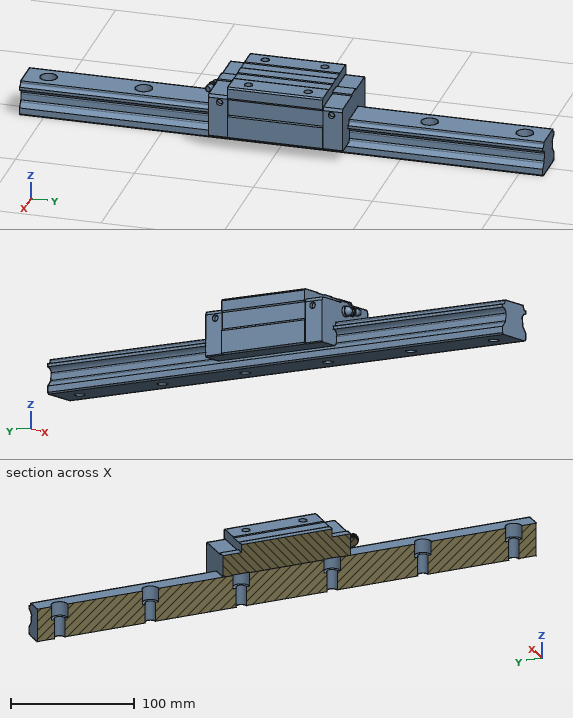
import cadquery as cq
import math


RAIL_LENGTH = 440.0
RAIL_HALF_WIDTH = 17.0
RAIL_HEIGHT = 29.0
RAIL_BASE_CHAMFER = 1.5
RAIL_BASE_HEIGHT = 6.5
RAIL_CROWN_HALF_WIDTH = 13.0
RAIL_CROWN_WALL = 1.5
RAIL_LIP_LOW = 22.5
RAIL_LIP_HIGH = 25.0
UPPER_GROOVE_START = 13.5
UPPER_GROOVE_RADIUS = 3.0
LOWER_GROOVE_RADIUS = 5.5
WAIST_BEVEL_WIDTH = 1.0
WAIST_BEVEL_HEIGHT = 1.5
GROOVE_FOOT = (12.0, 18.5)
WAIST_TOP_HALF_WIDTH = 12.5
WAIST_BOTTOM_HALF_WIDTH = 12.8
WAIST_BOTTOM = 12.0

RAIL_HOLE_COUNT = 6
RAIL_HOLE_PITCH = 80.0
RAIL_HOLE_DIAMETER = 9.0
RAIL_COUNTERBORE_DIAMETER = 14.0
RAIL_COUNTERBORE_DEPTH = 12.0

CARRIAGE_BOTTOM = 9.2
BLOCK_WIDTH = 70.0
BLOCK_LENGTH = 80.0
BLOCK_TOP = 55.0
BLOCK_CHAMFER = 1.5
RELIEF_DEPTH = 0.5
RELIEF_FLANK = 1.5
TOP_RELIEF_INNER = 5.0
TOP_RELIEF_OUTER = 16.5
SIDE_RELIEF_LOW = 29.0
SIDE_RELIEF_HIGH = 45.5

BLOCK_HOLE_SPACING = 50.0
BLOCK_HOLE_DIAMETER = 6.5
BLOCK_HOLE_DEPTH = 12.0
DRILL_POINT_ANGLE = 118.0

CARRIAGE_LENGTH = 112.5
CAP_WIDTH = 67.8
CAP_TOP = 46.5
CAP_CHAMFER_WIDTH = 1.5
CAP_CHAMFER_HEIGHT = 2.5
CAP_BOTTOM_CHAMFER = 1.0
CAP_RIDGE_WIDTH = 12.0
CAP_RIDGE_TOP = 48.0
CAP_HOLE_DIAMETER = 5.5
CAP_HOLE_DEPTH = 3.5
CAP_HOLE_OFFSET = 47.0
CAP_HOLE_HEIGHT = 40.5

NIPPLE_HEIGHT = 40.0
COLLAR_DIAMETER = 9.0
COLLAR_LENGTH = 2.0
ELBOW_DIAMETER = 8.0
ELBOW_CENTRE = 2.5
SPOUT_ANGLE = 22.5
FLANGE_DIAMETER = 8.0
FLANGE_START = 4.0
FLANGE_END = 5.5
NECK_DIAMETER = 5.0
HEAD_DIAMETER = 6.0
HEAD_START = 6.0
HEAD_END = 9.2
SPOUT_LENGTH = 11.5


def arc_middle(start, end, radius):
    """Middle of the minor arc from start to end, bulging to the left of that direction."""
    chord_x = end[0] - start[0]
    chord_z = end[1] - start[1]
    chord = math.hypot(chord_x, chord_z)
    bulge = radius - math.sqrt(radius ** 2 - (chord / 2) ** 2)
    return (
        (start[0] + end[0]) / 2 - bulge * chord_z / chord,
        (start[1] + end[1]) / 2 + bulge * chord_x / chord,
    )


def rail_half():
    """The +X half of the rail, with two concave ball grooves on its flank."""
    lip_low = (RAIL_HALF_WIDTH, RAIL_LIP_LOW)
    lip_high = (RAIL_HALF_WIDTH, RAIL_LIP_HIGH)
    groove_top = (UPPER_GROOVE_START, RAIL_HEIGHT - RAIL_CROWN_WALL)
    return (
        cq.Workplane("XZ")
        .lineTo(RAIL_HALF_WIDTH - RAIL_BASE_CHAMFER, 0)
        .lineTo(RAIL_HALF_WIDTH, RAIL_BASE_CHAMFER)
        .lineTo(RAIL_HALF_WIDTH, RAIL_BASE_HEIGHT)
        .lineTo(WAIST_BOTTOM_HALF_WIDTH + WAIST_BEVEL_WIDTH, WAIST_BOTTOM - WAIST_BEVEL_HEIGHT)
        .lineTo(WAIST_BOTTOM_HALF_WIDTH, WAIST_BOTTOM)
        .lineTo(WAIST_TOP_HALF_WIDTH, GROOVE_FOOT[1] - WAIST_BEVEL_HEIGHT)
        .lineTo(*GROOVE_FOOT)
        .threePointArc(arc_middle(GROOVE_FOOT, lip_low, LOWER_GROOVE_RADIUS), lip_low)
        .lineTo(*lip_high)
        .threePointArc(arc_middle(lip_high, groove_top, UPPER_GROOVE_RADIUS), groove_top)
        .lineTo(RAIL_CROWN_HALF_WIDTH, RAIL_HEIGHT)
        .lineTo(0, RAIL_HEIGHT)
        .close()
        .extrude(RAIL_LENGTH / 2, both=True)
    )


def rail_bar():
    """Solid rail without holes; it also gives the shape of the carriage channel."""
    half = rail_half()
    return half.union(half.mirror("YZ"))


def make_rail():
    """Rail with its row of counterbored mounting holes."""
    return (
        rail_bar()
        .faces(">Z")
        .workplane(origin=(0, 0, 0))
        .rarray(4.5, RAIL_HOLE_PITCH, 1, RAIL_HOLE_COUNT)
        .cboreHole(RAIL_HOLE_DIAMETER, RAIL_COUNTERBORE_DIAMETER, RAIL_COUNTERBORE_DEPTH)
    )


def box_between(width, length, bottom, top):
    """Box centred on the Z axis, from the bottom height to the top height."""
    return (
        cq.Workplane("XY", origin=(0, 0, bottom))
        .box(width, length, top - bottom, centered=(True, True, False))
    )


def relief(start, end):
    """Shallow strip with sloping flanks along Y, cut below the line X = start..end at Z = 0."""
    return (
        cq.Workplane("XZ")
        .moveTo(start, 0)
        .lineTo(start + RELIEF_FLANK, -RELIEF_DEPTH)
        .lineTo(end - RELIEF_FLANK, -RELIEF_DEPTH)
        .lineTo(end, 0)
        .close()
        .extrude(BLOCK_LENGTH / 2, both=True)
    )


def blind_hole():
    """Drilled hole with a conical end, going down from the origin."""
    radius = BLOCK_HOLE_DIAMETER / 2
    point_length = radius / math.tan(math.radians(DRILL_POINT_ANGLE / 2))
    return (
        cq.Workplane("XZ")
        .lineTo(radius, 0)
        .lineTo(radius, -BLOCK_HOLE_DEPTH)
        .lineTo(0, -BLOCK_HOLE_DEPTH - point_length)
        .close()
        .revolve(360, (0, 0), (0, 1))
    )


def carriage_block():
    """Steel middle part with shallow relief strips on its top and sides."""
    block = (
        box_between(BLOCK_WIDTH, BLOCK_LENGTH, CARRIAGE_BOTTOM, BLOCK_TOP)
        .edges("|Y")
        .chamfer(BLOCK_CHAMFER)
    )
    top_relief = relief(TOP_RELIEF_INNER, TOP_RELIEF_OUTER).translate((0, 0, BLOCK_TOP))
    side_relief = (
        relief(-SIDE_RELIEF_HIGH, -SIDE_RELIEF_LOW)
        .rotate((0, 0, 0), (0, 1, 0), 90)
        .translate((BLOCK_WIDTH / 2, 0, 0))
    )
    for strip in (top_relief, side_relief):
        block = block.cut(strip).cut(strip.mirror("YZ"))
    return block


def end_caps():
    """Both end caps as one full-length body, with the raised ridge and the side holes."""
    half_width = CAP_WIDTH / 2
    outline = [
        (half_width - CAP_BOTTOM_CHAMFER, CARRIAGE_BOTTOM),
        (half_width, CARRIAGE_BOTTOM + CAP_BOTTOM_CHAMFER),
        (half_width, CAP_TOP - CAP_CHAMFER_HEIGHT),
        (half_width - CAP_CHAMFER_WIDTH, CAP_TOP),
    ]
    outline += [(-x, z) for x, z in reversed(outline)]
    caps = cq.Workplane("XZ").polyline(outline).close().extrude(CARRIAGE_LENGTH / 2, both=True)
    caps = caps.union(box_between(CAP_RIDGE_WIDTH, CARRIAGE_LENGTH, CARRIAGE_BOTTOM, CAP_RIDGE_TOP))
    side_hole = (
        cq.Workplane("YZ", origin=(CAP_WIDTH / 2 - CAP_HOLE_DEPTH, 0, CAP_HOLE_HEIGHT))
        .pushPoints([(-CAP_HOLE_OFFSET, 0), (CAP_HOLE_OFFSET, 0)])
        .circle(CAP_HOLE_DIAMETER / 2)
        .extrude(CAP_HOLE_DEPTH)
    )
    return caps.cut(side_hole).cut(side_hole.mirror("YZ"))


def make_carriage():
    """Block and end caps in one piece, with a channel for the rail and four mounting holes."""
    carriage = end_caps().union(carriage_block()).cut(rail_bar())
    half_spacing = BLOCK_HOLE_SPACING / 2
    for x in (-half_spacing, half_spacing):
        for y in (-half_spacing, half_spacing):
            carriage = carriage.cut(blind_hole().translate((x, y, BLOCK_TOP)))
    return carriage


def nipple_spout():
    """Arm, flange, neck, head and tapered tip turned about +X, starting at the ball centre."""
    flange_radius = FLANGE_DIAMETER / 2
    neck_radius = NECK_DIAMETER / 2
    head_radius = HEAD_DIAMETER / 2
    return (
        cq.Workplane("XZ")
        .lineTo(0, head_radius)
        .lineTo(FLANGE_START, head_radius)
        .lineTo(FLANGE_START, flange_radius)
        .lineTo(FLANGE_END, flange_radius)
        .lineTo(FLANGE_END, neck_radius)
        .lineTo(HEAD_START, neck_radius)
        .lineTo(HEAD_START, head_radius)
        .lineTo(HEAD_END, head_radius)
        .lineTo(SPOUT_LENGTH, neck_radius)
        .lineTo(SPOUT_LENGTH, 0)
        .close()
        .revolve(360, (0, 0), (1, 0))
    )


def make_nipple(carriage):
    """Grease nipple: collar on the -Y cap face, ball-ended elbow and angled spout.

    The rear of the ball is trimmed flush with the cap face, where the nipple ends.
    """
    cap_face = -CARRIAGE_LENGTH / 2
    base = cq.Workplane("XZ", origin=(0, cap_face, NIPPLE_HEIGHT))
    collar = base.circle(COLLAR_DIAMETER / 2).extrude(COLLAR_LENGTH)
    elbow = base.circle(ELBOW_DIAMETER / 2).extrude(ELBOW_CENTRE)
    ball_centre = (0, cap_face - ELBOW_CENTRE, NIPPLE_HEIGHT)
    ball = cq.Workplane("XY").sphere(ELBOW_DIAMETER / 2).translate(ball_centre)
    spout = nipple_spout().rotate((0, 0, 0), (0, 0, 1), -SPOUT_ANGLE).translate(ball_centre)
    return collar.union(elbow).union(ball).union(spout).cut(carriage)


rail = make_rail()
carriage = make_carriage()
nipple = make_nipple(carriage)

result = cq.Compound.makeCompound([rail.val(), carriage.val(), nipple.val()])